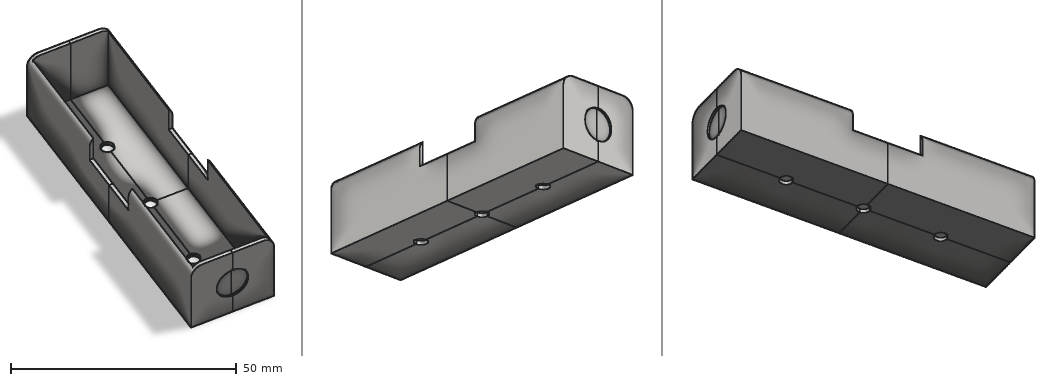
import cadquery as cq

LENGTH = 76.0
WIDTH = 21.0
HEIGHT = 18.5
WALL = 1.0
FLOOR = 1.0
EDGE_RADIUS = 3.0

NOTCH_LENGTH = 18.0
NOTCH_FLOOR_Z = 11.5

HOLE_DIAMETER = 3.2
HOLE_SPACING = 20.0

RECESS_DIAMETER = 8.0
RECESS_DEPTH = 0.5
RECESS_Z = 9.05

ON_BASE = (True, True, False)


def rounded_block():
    """Solid block with its two long upper edges rounded."""
    block = cq.Workplane("XY").box(LENGTH, WIDTH, HEIGHT, centered=ON_BASE)
    return block.edges("|X and >Z").fillet(EDGE_RADIUS)


def cavity():
    """Open-topped inner space, leaving the walls and floor."""
    space = cq.Workplane("XY").box(LENGTH - 2 * WALL, WIDTH - 2 * WALL, HEIGHT, centered=ON_BASE)
    return space.translate((0, 0, FLOOR))


def wall_notch():
    """Central gap across both long walls, open at the top."""
    gap = cq.Workplane("XY").box(NOTCH_LENGTH, WIDTH, HEIGHT, centered=ON_BASE)
    return gap.translate((0, 0, NOTCH_FLOOR_Z))


def floor_holes():
    """Row of holes through the floor along the long centre line."""
    centres = [(-HOLE_SPACING, 0), (0, 0), (HOLE_SPACING, 0)]
    return cq.Workplane("XY").pushPoints(centres).circle(HOLE_DIAMETER / 2).extrude(FLOOR)


def end_recess(side):
    """Round recess sunk into the end wall at side -1 or +1."""
    face = cq.Workplane("YZ", origin=(side * LENGTH / 2, 0, 0))
    return face.center(0, RECESS_Z).circle(RECESS_DIAMETER / 2).extrude(-side * RECESS_DEPTH)


def whole_tray():
    """Complete tray shape, before division into quarters."""
    tray = rounded_block().cut(cavity()).cut(wall_notch()).cut(floor_holes())
    for side in (-1, 1):
        tray = tray.cut(end_recess(side))
    return tray


def tray_quarter(tray, x_side, y_side):
    """One quarter of the tray, bounded by the two central joint planes."""
    quadrant = cq.Workplane("XY").box(LENGTH / 2, WIDTH / 2, HEIGHT, centered=ON_BASE)
    quadrant = quadrant.translate((x_side * LENGTH / 4, y_side * WIDTH / 4, 0))
    return tray.intersect(quadrant)


tray_shape = whole_tray()
quarters = []
for x_side in (-1, 1):
    for y_side in (-1, 1):
        quarters.extend(tray_quarter(tray_shape, x_side, y_side).solids().vals())

result = cq.Compound.makeCompound(quarters)